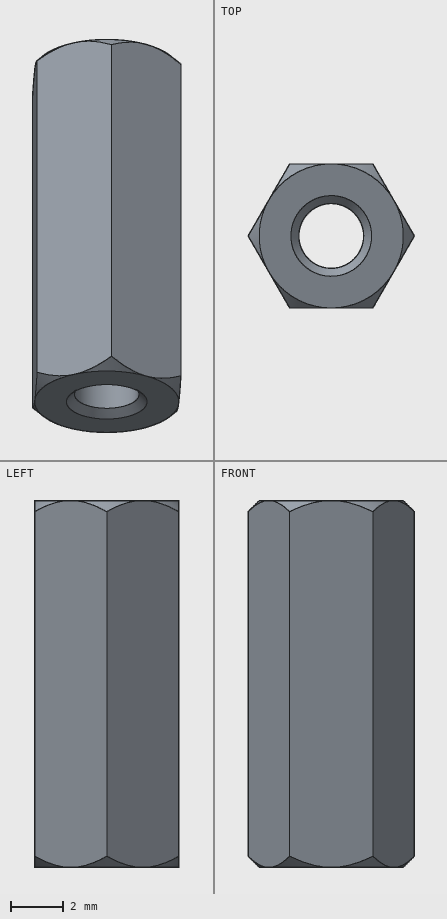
import cadquery as cq
import math

length = 14.0
across_flats = 5.5
bore_diameter = 2.46
countersink_diameter = 3.08

across_corners = across_flats / math.cos(math.radians(30))
corner_chamfer = (across_corners - across_flats) / 2
countersink_depth = (countersink_diameter - bore_diameter) / 2


def hexagonal_bar():
    """Hexagonal bar with two flats facing along Y and corners along X."""
    return cq.Workplane("XY").polygon(6, across_corners).extrude(length)


def chamfered_envelope():
    """Round bar through the hexagon corners, chamfered at both ends."""
    bar = cq.Workplane("XY").circle(across_corners / 2).extrude(length)
    return bar.faces("<Z or >Z").edges().chamfer(corner_chamfer)


def countersunk_bore():
    """Through bore with a 45 degree countersink at each end, as a solid to cut away."""
    bore_radius = bore_diameter / 2
    countersink_radius = countersink_diameter / 2
    half_profile = (
        cq.Workplane("XZ")
        .lineTo(countersink_radius, 0)
        .lineTo(bore_radius, countersink_depth)
        .lineTo(bore_radius, length - countersink_depth)
        .lineTo(countersink_radius, length)
        .lineTo(0, length)
        .close()
    )
    return half_profile.revolve(360, (0, 0), (0, 1))


result = hexagonal_bar().intersect(chamfered_envelope()).cut(countersunk_bore())